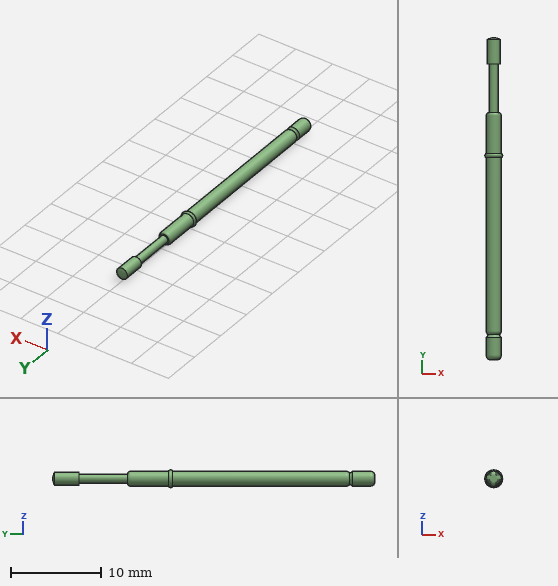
import cadquery as cq
import math

LENGTH = 35.7

HEAD_DIAMETER = 1.45
HEAD_LENGTH = 2.93
DOME_HEIGHT = 0.2
SHAFT_RADIUS = 0.5

BARREL_DIAMETER = 1.68
BARREL_LENGTH = 27.38
TAIL_ROUND = 0.45
CRIMP_RADIUS = 0.4
CRIMP_DEPTH = 0.18

RING_RADIUS = 1.0
BEAD_RADIUS = 0.25
RING_TO_TIP = 13.05

GROOVE_TO_TAIL = 2.5

head_radius = HEAD_DIAMETER / 2
barrel_radius = BARREL_DIAMETER / 2

crimp_length = math.sqrt(CRIMP_RADIUS**2 - (CRIMP_RADIUS - CRIMP_DEPTH) ** 2)

tip_y = LENGTH / 2
tail_y = -LENGTH / 2
dome_y = tip_y - DOME_HEIGHT
head_y = tip_y - HEAD_LENGTH
mouth_y = tail_y + BARREL_LENGTH
ring_y = tip_y - RING_TO_TIP
groove_edge_y = tail_y + GROOVE_TO_TAIL
groove_floor_y = groove_edge_y + crimp_length
groove_start_y = groove_floor_y + crimp_length

crimped_radius = barrel_radius - CRIMP_DEPTH
dome_radius = (head_radius**2 + DOME_HEIGHT**2) / (2 * DOME_HEIGHT)

bead_center_radius = RING_RADIUS - BEAD_RADIUS
ring_half_width = math.sqrt(BEAD_RADIUS**2 - (barrel_radius - bead_center_radius) ** 2)


def turned_body():
    """Plunger and barrel, revolved from one half outline (radius, y)."""
    outline = (
        cq.Workplane("XY")
        .moveTo(0, tail_y)
        .lineTo(barrel_radius - TAIL_ROUND, tail_y)
        .radiusArc((barrel_radius, tail_y + TAIL_ROUND), -TAIL_ROUND)
        .lineTo(barrel_radius, groove_edge_y)
        .radiusArc((crimped_radius, groove_floor_y), CRIMP_RADIUS)
        .radiusArc((barrel_radius, groove_start_y), -CRIMP_RADIUS)
        .lineTo(barrel_radius, ring_y - ring_half_width)
        .threePointArc((RING_RADIUS, ring_y), (barrel_radius, ring_y + ring_half_width))
        .lineTo(barrel_radius, mouth_y - crimp_length)
        .radiusArc((crimped_radius, mouth_y), -CRIMP_RADIUS)
        .lineTo(SHAFT_RADIUS, mouth_y)
        .lineTo(SHAFT_RADIUS, head_y)
        .lineTo(head_radius, head_y)
        .lineTo(head_radius, dome_y)
        .radiusArc((0, tip_y), -dome_radius)
        .close()
    )
    return outline.revolve(360, (0, 0, 0), (0, 1, 0))


result = turned_body()